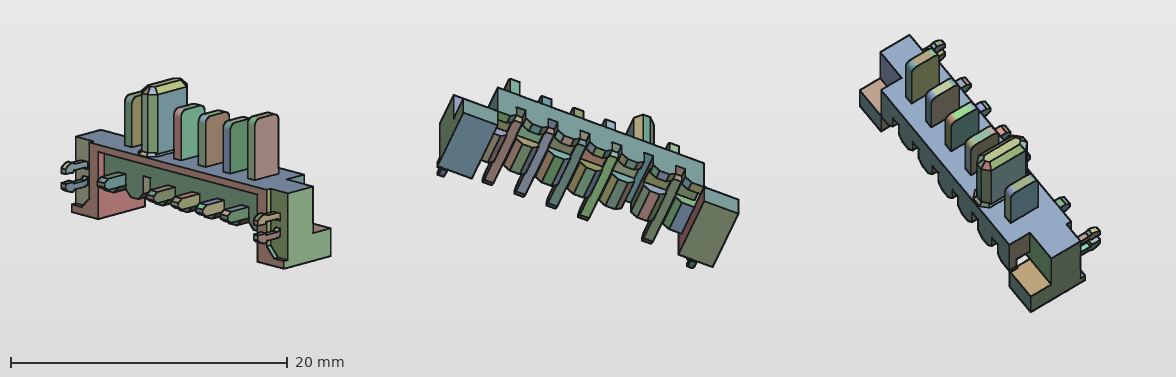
import cadquery as cq

length = 21.6
depth = 4.82
height = 5.6
leg_width = 2.7
leg_inner_x = length / 2 - leg_width
comb_bottom = 2.07

pocket_depth = 0.6
pocket_top = 5.05

notch_depth = 1.81
notch_floor = 2.1
lip_width = 0.15
lip_height = 0.06

rear_wall = 0.65
channel_back_y = depth - rear_wall
channel_front_y = depth - notch_depth
channel_top = 3.07

relief_width = 1.77
relief_depth = 0.4
relief_floor = 0.58
relief_chamfer = 0.78

station_span = 12.5
station_count = 6
pitch = station_span / (station_count - 1)
stations = [-station_span / 2 + i * pitch for i in range(station_count)]
key_x = stations[1]
contact_xs = stations[:1] + stations[2:]
tall_contact_x = stations[-1]

contact_width = 0.73
blade_front_y = 1.23
blade_back_y = 3.67
blade_top = 9.33
tall_blade_top = 10.15
blade_radius = 0.5
lead_reach = 1.58
lead_bottom = 2.87
lead_top = 3.72
lead_tip_length = 0.37
lead_tip_drop = 0.25

slot_flare = 0.5
key_slot_top = 3.9

key_width = 1.6
key_length = 4.05
key_corner = 0.52
key_y = 2.42
key_top = 10.65
key_top_chamfer = 0.45
foot_width = 1.85
foot_length = 4.54
foot_height = (foot_length - key_length) / 2

clip_x = 9.78
clip_width = 0.45
clip_mid_z = 3.09
clip_reach = 1.88
clip_root_depth = 0.1

prong_inner = 0.5
prong_outer = 0.95
prong_straight_start = 0.15
root_inner = 0.28
root_outer = 0.85
barb_inner = 0.32
barb_inner_start = 1.0
barb_inner_low = 1.12
barb_inner_end = 1.38
barb_outer = 1.1
barb_outer_start = 0.86
barb_crest = 1.15
barb_mid_reach = 1.6
barb_mid_outer = 0.97
tip_inner = 0.37
tip_outer = 0.73


def block(x0, x1, y0, y1, z0, z1):
    """Axis-aligned block between two opposite corners."""
    return cq.Workplane("XY").box(x1 - x0, y1 - y0, z1 - z0, centered=False).translate((x0, y0, z0))


def octagon(width, length_y, z):
    """Rectangle with cut corners at the key position, as a sketch at height z."""
    hx = width / 2
    hy = length_y / 2
    c = key_corner
    points = [
        (hx, hy - c), (hx - c, hy), (c - hx, hy), (-hx, hy - c),
        (-hx, c - hy), (c - hx, -hy), (hx - c, -hy), (hx, c - hy),
    ]
    return cq.Workplane("XY", origin=(key_x, key_y, z)).polyline(points).close()


def corner_relief():
    """Cutter for the relief in the left front corner."""
    outer_x = -length / 2
    inner_x = outer_x + relief_width
    points = [
        (outer_x, relief_floor),
        (inner_x - relief_chamfer, relief_floor),
        (inner_x, relief_floor + relief_chamfer),
        (inner_x, height),
        (outer_x, height),
    ]
    return cq.Workplane("XZ").polyline(points).close().extrude(-relief_depth)


def comb_slot(x, top):
    """Cutter for a slot through the comb, widening at its mouth."""
    half = contact_width / 2
    points = [
        (x - half - slot_flare, comb_bottom),
        (x - half, comb_bottom + slot_flare),
        (x - half, top),
        (x + half, top),
        (x + half, comb_bottom + slot_flare),
        (x + half + slot_flare, comb_bottom),
    ]
    return cq.Workplane("XZ").polyline(points).close().extrude(-depth)


def housing():
    body = block(-length / 2, length / 2, 0, depth, 0, height)
    body = body.cut(block(-leg_inner_x, leg_inner_x, 0, depth, 0, comb_bottom))
    body = body.cut(block(-leg_inner_x, leg_inner_x, 0, pocket_depth, 0, pocket_top))
    body = body.cut(
        block(-leg_inner_x, leg_inner_x, channel_front_y, channel_back_y, comb_bottom, channel_top)
    )

    notch = block(-length / 2, -leg_inner_x, depth - notch_depth, depth, notch_floor, height)
    lip = block(
        -leg_inner_x - lip_width, -leg_inner_x, channel_back_y, depth, notch_floor, notch_floor + lip_height
    )
    end_cut = notch.cut(lip).union(corner_relief())
    body = body.cut(end_cut).cut(end_cut.mirror("YZ"))

    for x in contact_xs:
        body = body.cut(comb_slot(x, lead_top))
    return body.cut(comb_slot(key_x, key_slot_top))


def contact(x, top):
    left = x - contact_width / 2
    right = x + contact_width / 2
    blade = block(left, right, blade_front_y, blade_back_y, lead_bottom, top)
    blade = blade.edges("|X and >Z").fillet(blade_radius)
    tip_y = -lead_reach
    lead_points = [
        (tip_y, lead_bottom + lead_tip_drop),
        (tip_y + lead_tip_length, lead_bottom),
        (channel_back_y, lead_bottom),
        (channel_back_y, lead_top),
        (tip_y + lead_tip_length, lead_top),
        (tip_y, lead_top - lead_tip_drop),
    ]
    lead = cq.Workplane("YZ", origin=(left, 0, 0)).polyline(lead_points).close().extrude(contact_width)
    return blade.union(lead)


def key():
    post = octagon(key_width, key_length, height).extrude(key_top - height)
    post = post.faces(">Z").chamfer(key_top_chamfer)
    foot = octagon(foot_width, foot_length, height).extrude(foot_height, taper=45)
    return post.union(foot)


def clip(x):
    """Upper prong drawn about Z = 0, mirrored downward, then lifted into place."""
    root_y = relief_depth + clip_root_depth
    prong = (
        cq.Workplane("YZ", origin=(x - clip_width / 2, 0, 0))
        .moveTo(root_y, root_inner)
        .lineTo(relief_depth, root_inner)
        .lineTo(prong_straight_start, prong_inner)
        .lineTo(-barb_inner_start, prong_inner)
        .lineTo(-barb_inner_low, barb_inner)
        .lineTo(-barb_inner_end, tip_inner)
        .lineTo(-clip_reach, tip_inner)
        .lineTo(-clip_reach, tip_outer)
        .threePointArc((-barb_mid_reach, barb_mid_outer), (-barb_crest, barb_outer))
        .lineTo(-barb_outer_start, prong_outer)
        .lineTo(prong_straight_start, prong_outer)
        .lineTo(relief_depth, root_outer)
        .lineTo(root_y, root_outer)
        .close()
        .extrude(clip_width)
    )
    return prong.union(prong.mirror("XY")).translate((0, 0, clip_mid_z))


result = housing().union(key())
for contact_x in contact_xs:
    top_z = tall_blade_top if contact_x == tall_contact_x else blade_top
    result = result.union(contact(contact_x, top_z))
for side in (-1, 1):
    result = result.union(clip(side * clip_x))